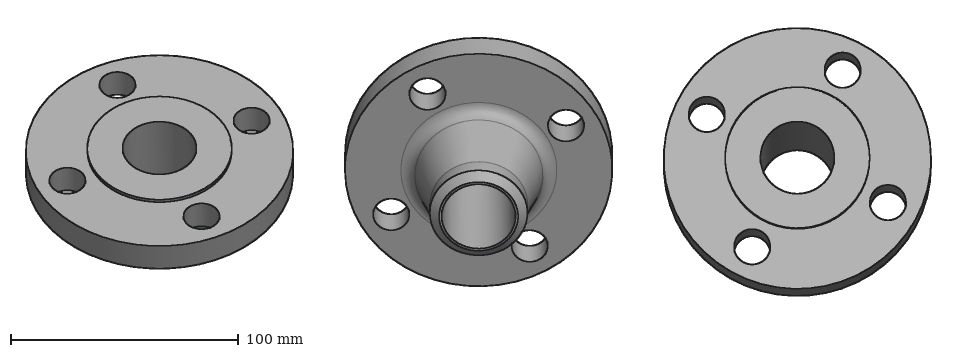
import cadquery as cq
import math

flange_diameter = 117.475
total_length = 57.15
bore_diameter = 32.46

flange_thickness = 14.3
raised_face_diameter = 63.5
raised_face_height = 1.6

bolt_circle_diameter = 88.9
bolt_hole_diameter = 15.875
bolt_hole_count = 4
first_bolt_hole_angle = 0

hub_root_diameter = 58.7
hub_fillet_radius = 6.35
weld_end_diameter = 42.9
weld_end_length = 11.1
bevel_height = 3.2
bevel_width = 4.1

flange_top_z = total_length - raised_face_height
flange_bottom_z = flange_top_z - flange_thickness


def make_flange_plate():
    """Round plate with the raised gasket face on top."""
    plate = cq.Workplane("XY").workplane(offset=flange_bottom_z)
    plate = plate.circle(flange_diameter / 2).extrude(flange_thickness)
    return plate.faces(">Z").workplane().circle(raised_face_diameter / 2).extrude(raised_face_height)


def make_hub():
    """Revolved neck whose concave root fillet is tangent to the taper and the flange underside."""
    weld_end_radius = weld_end_diameter / 2
    root_radius = hub_root_diameter / 2
    taper_angle = math.atan2(root_radius - weld_end_radius, flange_bottom_z - weld_end_length)

    arc_angle = math.pi / 2 - taper_angle
    tangent_length = hub_fillet_radius * math.tan(arc_angle / 2)
    fillet_center_x = root_radius + tangent_length
    fillet_center_z = flange_bottom_z - hub_fillet_radius

    def fillet_point(turn):
        """Point on the fillet, turned away from where it touches the flange underside."""
        x = fillet_center_x - hub_fillet_radius * math.sin(turn)
        z = fillet_center_z + hub_fillet_radius * math.cos(turn)
        return (x, z)

    profile = (
        cq.Workplane("XZ")
        .lineTo(weld_end_radius - bevel_width, 0)
        .lineTo(weld_end_radius, bevel_height)
        .lineTo(weld_end_radius, weld_end_length)
        .lineTo(*fillet_point(arc_angle))
        .threePointArc(fillet_point(arc_angle / 2), fillet_point(0))
        .lineTo(0, flange_bottom_z)
        .close()
    )
    return profile.revolve(360, (0, 0, 0), (0, 1, 0))


def make_bore():
    return cq.Workplane("XY").circle(bore_diameter / 2).extrude(total_length)


def make_bolt_holes():
    holes = cq.Workplane("XY").workplane(offset=flange_bottom_z)
    holes = holes.polarArray(bolt_circle_diameter / 2, first_bolt_hole_angle, 360, bolt_hole_count)
    return holes.circle(bolt_hole_diameter / 2).extrude(flange_thickness)


result = make_flange_plate().union(make_hub()).cut(make_bore()).cut(make_bolt_holes())